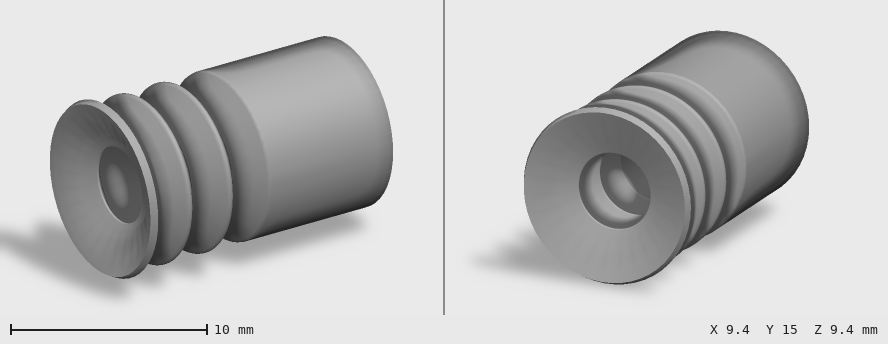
import cadquery as cq
import math

length = 15.0
body_radius = 4.5

convolutions = 2
first_groove_y = length / 12
pitch = length / 6
groove_radius = 2.78
throat_radius = 2.0
flank_angle = 33.5
throat_round = 0.08

lip_diameter = 9.4
lip_rim_y = 0.36
lip_mouth_radius = 4.53

slope = math.tan(math.radians(flank_angle))
apex_excess = 1 / math.sin(math.radians(flank_angle)) - 1

flank_depth = pitch / 2 / slope
crest_tip_radius = groove_radius + flank_depth
crest_round = (crest_tip_radius - body_radius) / apex_excess
throat_tip_radius = throat_radius - throat_round * apex_excess
chamber_radius = throat_tip_radius + flank_depth
last_groove_y = first_groove_y + convolutions * pitch
shoulder_y = last_groove_y + (body_radius - groove_radius) * slope
bore_start_y = last_groove_y - (throat_radius - throat_tip_radius) * slope


def zigzag(valley_radius, peak_radius):
    """Points of the bellows wall from the first groove to the last one, next to the body."""
    points = [(valley_radius, first_groove_y)]
    for i in range(convolutions):
        valley_y = first_groove_y + i * pitch
        points.append((peak_radius, valley_y + pitch / 2))
        points.append((valley_radius, valley_y + pitch))
    return points


def sharp_cup():
    """Revolved cup with sharp crests and throats."""
    outside = [(lip_mouth_radius, 0), (lip_diameter / 2, lip_rim_y)]
    outside += zigzag(groove_radius, crest_tip_radius)
    outside += [(body_radius, shoulder_y), (body_radius, length)]

    inside = zigzag(throat_tip_radius, chamber_radius)[:-1]
    inside += [(throat_radius, bore_start_y), (throat_radius, length)]

    profile = cq.Workplane("XY").polyline(outside + inside[::-1]).close()
    return profile.revolve(360, (0, 0, 0), (0, 1, 0))


def round_ring(cup, radius, y, rounding):
    """Fillet the circular edge that has the given radius and height y."""
    tolerance = 0.002

    def is_ring(edge):
        return abs(edge.radius() - radius) < tolerance and abs(edge.Center().y - y) < tolerance

    return cup.edges("%CIRCLE").filter(is_ring).fillet(rounding)


result = sharp_cup()
result = round_ring(result, body_radius, shoulder_y, crest_round)
result = round_ring(result, throat_radius, bore_start_y, throat_round)
for i in range(convolutions):
    groove_y = first_groove_y + i * pitch
    result = round_ring(result, crest_tip_radius, groove_y + pitch / 2, crest_round)
    result = round_ring(result, throat_tip_radius, groove_y, throat_round)